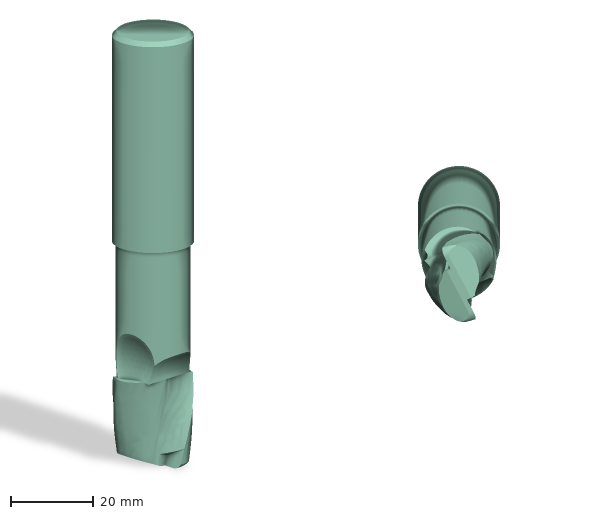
import cadquery as cq

total_length = 110.0
shank_radius = 10.0
shank_chamfer = 1.1
shank_start = 56.3
neck_radius = 9.1
head_length = 22.2

cutting_radius = 9.9
corner_radius = 2.4
helix_rate = 2.909
start_angle = -6.0
flat_half_width = 1.1
relief_half_width = 6.6
relief_rise = 2.0

gash_inner_x = 4.3
gash_inner_height = 2.5
gash_outer_height = 5.4
gash_depth = 5.5
gash_rake = 18.0

channel_radius = 7.6
channel_distance = 12.6
channel_turn = 5.0
channel_height = 22.7
hollow_radius = 9.4
hollow_center = (2.8, -14.1, 27.0)


def half_turn(body):
    return body.rotate((0, 0, 0), (0, 0, 1), 180)


def head_section():
    """Two teeth: narrow margin, curved land, short heel and hollow flute."""
    edge = (-cutting_radius, 0)
    margin_end = (-9.2, -2.8)
    land_shoulder = (-7.8, -5.0)
    land_middle = (-3.3, -6.2)
    heel = (2.2, -4.3)
    flute_start = (3.3, -2.9)
    flute_middle = (6.3, -0.7)
    section = cq.Workplane("XY").moveTo(*edge)
    for side in (1, -1):
        def place(point):
            return (side * point[0], side * point[1])

        section = (
            section.lineTo(*place(margin_end))
            .spline([place(land_shoulder), place(land_middle), place(heel)], includeCurrent=True)
            .lineTo(*place(flute_start))
            .threePointArc(place(flute_middle), place((cutting_radius, 0)))
        )
    return section.close()


def head_envelope():
    """Cylinder with rounded lower corners, sloping up on both sides of the end edge."""
    cylinder = cq.Workplane("XY").circle(cutting_radius).extrude(head_length)
    cylinder = cylinder.faces("<Z").edges().fillet(corner_radius)
    slope = relief_rise / (relief_half_width - flat_half_width)
    side_height = slope * (cutting_radius - flat_half_width)
    roof = (
        cq.Workplane("YZ")
        .polyline([
            (-flat_half_width, 0),
            (flat_half_width, 0),
            (cutting_radius, side_height),
            (cutting_radius, head_length),
            (-cutting_radius, head_length),
            (-cutting_radius, side_height),
        ])
        .close()
        .extrude(cutting_radius, both=True)
    )
    return cylinder.intersect(roof)


def end_gash():
    """Flat-backed pocket on the -Y side of the +X cutting edge."""
    return (
        cq.Workplane("XZ")
        .polyline([
            (gash_inner_x, -corner_radius),
            (gash_inner_x, gash_inner_height),
            (cutting_radius, gash_outer_height),
            (cutting_radius, -corner_radius),
        ])
        .close()
        .extrude(gash_depth)
        .rotate((0, 0, 0), (1, 0, 0), -gash_rake)
    )


def make_head():
    twist = helix_rate * head_length
    head = head_section().twistExtrude(head_length, twist)
    head = head.rotate((0, 0, 0), (0, 0, 1), start_angle).intersect(head_envelope())
    gash = end_gash()
    return head.cut(gash).cut(half_turn(gash))


def flute_runout():
    """Hollow left by the cutter where one flute ends in the neck."""
    channel = (
        cq.Workplane("XZ")
        .center(channel_distance, channel_height)
        .circle(channel_radius)
        .extrude(2 * neck_radius, both=True)
        .rotate((0, 0, 0), (0, 0, 1), channel_turn)
    )
    hollow = cq.Workplane("XY").sphere(hollow_radius).translate(hollow_center)
    return channel.union(hollow)


def make_shank():
    neck = cq.Workplane("XY").workplane(offset=head_length).circle(neck_radius)
    neck = neck.extrude(shank_start - head_length)
    grip = cq.Workplane("XY").workplane(offset=shank_start).circle(shank_radius)
    grip = grip.extrude(total_length - shank_start).faces(">Z").chamfer(shank_chamfer)
    runout = flute_runout()
    return neck.cut(runout).cut(half_turn(runout)).union(grip)


shank = make_shank()
head = make_head()
result = cq.Compound.makeCompound([shank.val(), head.val()])